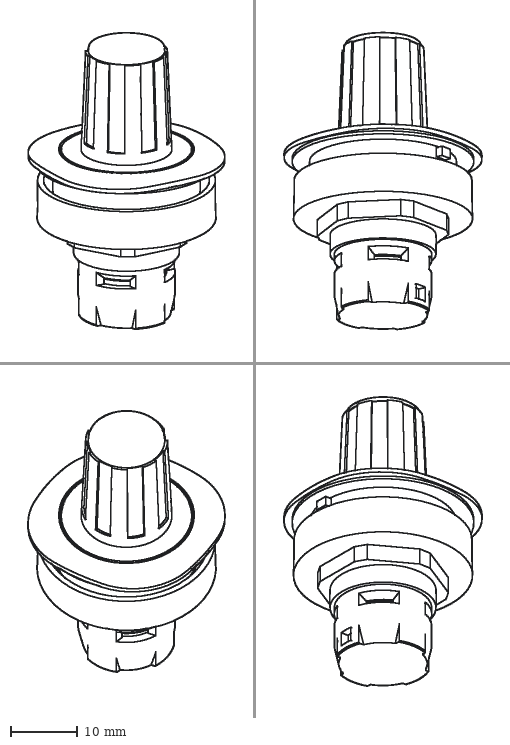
import cadquery as cq
import math

plug_top = 9.7
collar_top = 12.7
hex_top = 15.3
body_seam = 19.3
body_top = 21.35
neck_top = 24.35
flange_rim_base = 24.8
flange_crest = 26.32
flute_base = 28.15
flute_top = 42.15
knob_top = 43.1

plug_radius = 14.7 / 2
plug_core_radius = 12.1 / 2
plug_chamfer_width = 0.15
plug_chamfer_height = 0.2

recess_count = 4
cutter_overrun = 0.45
recess_first_angle = 45
recess_outer_half_width = 3.05
recess_inner_half_width = 2.02
recess_outer_reach = 6.68
recess_inner_reach = 6.0
window_floor = 6.6
window_roof = 8.65
window_inner_roof = 7.63
window_inner_radius = 12.62 / 2
window_slot_top = 7.45
notch_top = 3.1
notch_foot_radius = 6.68

pocket_size = 2.25
pocket_base = 1.05

collar_radius = 16.0 / 2
hex_flat_distance = 18.05
hex_corner_distance = 19.65
body_radius = 26.85 / 2
body_foot_radius = 27.0 / 2
cup_radius = 25 / 2
cup_floor = 19.0
cup_corner_radius = 1.3
neck_radius = 22.2 / 2

tab_reach = 12.15
tab_width = 2.02
tab_base = 22.65
tab_height = 1.45

flange_width = 27.95
flange_corner_reach = 14.95
flange_joint_half = 4.35
flange_side_rise = 0.3
flange_foot_radius = 27.4 / 2
flange_crest_radius = 20.4 / 2
flange_slope = 0.18
flange_margin = 0.45
gap_outer_radius = 20.05 / 2
gap_inner_radius = 19.7 / 2
gap_depth = 0.45

knob_base_radius = 13.7 / 2
knob_shoulder_radius = 12.35 / 2
knob_cap_radius = 11.5 / 2
knob_cap_fillet = 0.47
flute_count = 8
flute_foot_radius = 12.85 / 2
flute_head_radius = 11.75 / 2


def revolved(points):
    """Solid of revolution about Z from (radius, z) points."""
    return cq.Workplane("XZ").polyline(points).close().revolve(360, (0, 0), (0, 1))


def disc(radius, base, top):
    return cq.Workplane("XY").workplane(offset=base).circle(radius).extrude(top - base)


def repeated(tool, count, first_angle=0):
    """Copies of a tool spaced evenly about Z."""
    copies = cq.Workplane("XY")
    for index in range(count):
        angle = first_angle + index * 360 / count
        copies = copies.add(tool.rotate((0, 0, 0), (0, 0, 1), angle))
    return copies.combine()


def recess_prism(base, top):
    """Wedge along +X whose side walls close in toward the axis."""
    wall_slope = (recess_outer_half_width - recess_inner_half_width) / (
        recess_outer_reach - recess_inner_reach
    )
    apex = recess_outer_reach - recess_outer_half_width / wall_slope
    reach = plug_radius + cutter_overrun
    half_width = (reach - apex) * wall_slope
    outline = [(apex, 0), (reach, -half_width), (reach, half_width)]
    return cq.Workplane("XY").workplane(offset=base).polyline(outline).close().extrude(top - base)


def latch_window():
    """Window with a conical roof and a lower slot reaching in to the plug core."""
    roof_slope = (window_roof - window_inner_roof) / (plug_radius - window_inner_radius)
    reach = plug_radius + cutter_overrun
    reach_roof = window_roof + roof_slope * cutter_overrun
    ring = revolved([
        (window_inner_radius, window_floor),
        (reach, window_floor),
        (reach, reach_roof),
        (window_inner_radius, window_inner_roof),
    ])
    window = ring.intersect(recess_prism(window_floor, reach_roof))
    slot_height = window_slot_top - window_floor
    slot = (
        cq.Workplane("XY")
        .box(plug_radius, 2 * recess_inner_half_width, slot_height, (False, True, False))
        .translate((0, 0, window_floor))
        .intersect(disc(window_inner_radius, window_floor, window_slot_top))
        .cut(disc(plug_core_radius, window_floor, window_slot_top))
    )
    return window.union(slot)


def foot_notch():
    """Notch open at the plug end, with a conical back wall."""
    ring = revolved([
        (notch_foot_radius, 0),
        (plug_radius + cutter_overrun, 0),
        (plug_radius + cutter_overrun, notch_top),
        (plug_radius, notch_top),
    ])
    return ring.intersect(recess_prism(0, notch_top))


def make_plug():
    plug = revolved([
        (0, 0),
        (plug_radius - plug_chamfer_width, 0),
        (plug_radius, plug_chamfer_height),
        (plug_radius, plug_top),
        (0, plug_top),
    ])
    plug = plug.cut(repeated(latch_window(), recess_count, recess_first_angle))
    plug = plug.cut(repeated(foot_notch(), recess_count, recess_first_angle))
    pocket = (
        cq.Workplane("XY")
        .box(plug_radius, pocket_size, pocket_size, (False, True, False))
        .translate((-plug_radius, 0, pocket_base))
        .cut(disc(plug_core_radius, 0, plug_top))
    )
    return plug.cut(pocket)


def hexagon(flat_distance, first_angle):
    """Hexagonal prism of the nut's height with a corner at the first angle."""
    circumscribed = flat_distance / math.cos(math.pi / 6)
    prism = (
        cq.Workplane("XY")
        .workplane(offset=collar_top)
        .polygon(6, circumscribed)
        .extrude(hex_top - collar_top)
    )
    return prism.rotate((0, 0, 0), (0, 0, 1), first_angle)


def make_nut():
    """Hex nut with flats facing +X and -X and its corners cut square."""
    return hexagon(hex_flat_distance, 30).intersect(hexagon(hex_corner_distance, 0))


def make_body():
    """Flared cup with a rounded inner corner and the neck standing in it."""
    shell = revolved([
        (0, hex_top),
        (body_foot_radius, hex_top),
        (body_radius, body_seam),
        (body_radius, body_top),
        (0, body_top),
    ])
    hollow = disc(cup_radius, cup_floor, body_top).faces("<Z").edges().fillet(cup_corner_radius)
    return shell.cut(hollow).union(disc(neck_radius, hex_top, neck_top))


def make_tab():
    return (
        cq.Workplane("XY")
        .box(tab_reach, tab_width, tab_height, (False, True, False))
        .translate((-tab_reach, 0, tab_base))
    )


def flange_outline():
    """Rounded square of four shallow side arcs and four corner arcs."""
    half = flange_width / 2
    joint_x = flange_joint_half
    joint_y = half - flange_side_rise
    corner = flange_corner_reach * math.sqrt(0.5)
    outline = cq.Workplane("XY").workplane(offset=flange_rim_base).moveTo(-joint_x, joint_y)
    quarter = [(0, half), (joint_x, joint_y), (corner, corner), (joint_y, joint_x)]
    for _ in range(4):
        outline = outline.threePointArc(quarter[0], quarter[1])
        outline = outline.threePointArc(quarter[2], quarter[3])
        quarter = [(y, -x) for x, y in quarter]
    return outline.close()


def make_flange():
    """Rounded-square flange with a conical top and a thin ring gap around its centre disc."""
    stock_radius = flange_corner_reach + flange_margin
    stock_edge = flange_crest - flange_slope * (stock_radius - flange_crest_radius)
    gap_chamfer = flange_crest_radius - gap_outer_radius
    dome = revolved([
        (0, flange_rim_base),
        (stock_radius, flange_rim_base),
        (stock_radius, stock_edge),
        (flange_crest_radius, flange_crest),
        (gap_outer_radius, flange_crest - gap_chamfer),
        (gap_outer_radius, flange_crest - gap_depth),
        (gap_inner_radius, flange_crest - gap_depth),
        (gap_inner_radius, flange_crest),
        (0, flange_crest),
    ])
    rim = flange_outline().extrude(flange_crest - flange_rim_base)
    return dome.intersect(rim).union(disc(flange_foot_radius, neck_top, flange_rim_base))


def knob_flutes():
    """Shallow tapered flutes, each as wide as the rib beside it."""
    ring = revolved([
        (flute_foot_radius, flute_base),
        (knob_base_radius, flute_base),
        (knob_base_radius, flute_top),
        (flute_head_radius, flute_top),
    ])
    half_angle = math.pi / flute_count / 2
    reach = 2 * knob_base_radius
    half_width = reach * math.tan(half_angle)
    sector = (
        cq.Workplane("XY")
        .workplane(offset=flute_base)
        .polyline([(0, 0), (reach, -half_width), (reach, half_width)])
        .close()
        .extrude(flute_top - flute_base)
    )
    return repeated(ring.intersect(sector), flute_count)


def make_knob():
    grip = revolved([
        (0, flange_crest),
        (knob_base_radius, flange_crest),
        (knob_shoulder_radius, flute_top),
        (0, flute_top),
    ])
    cap = disc(knob_cap_radius, flute_top, knob_top).faces(">Z").edges().fillet(knob_cap_fillet)
    return grip.cut(knob_flutes()).union(cap)


result = (
    make_plug()
    .union(disc(collar_radius, plug_top, collar_top))
    .union(make_nut())
    .union(make_body())
    .union(make_tab())
    .union(make_flange())
    .union(make_knob())
)